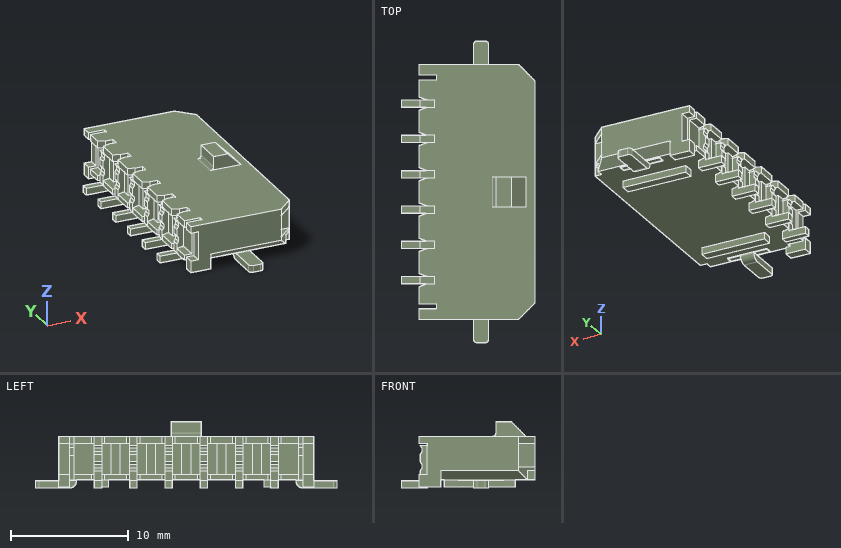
import cadquery as cq


PIN_COUNT = 6
PIN_PITCH = 3.0
PIN_SIZE = 0.64
PIN_TIP_X = -1.48
PIN_REAR_X = 0.1
PIN_TOP_Z = 3.63
PIN_EMBED = 0.4
GROOVE_DEPTH = 0.15
GROOVE_HEIGHT = 0.77
GROOVE_FLAT = 0.31
GROOVE_TOPS = (PIN_TOP_Z, 2.24)

HOUSING_LENGTH = 9.87
HOUSING_WIDTH = 21.7
HOUSING_TOP_Z = 4.4
HOUSING_BOTTOM_Z = 0.7
FRONT_CHAMFER = 1.41
BOTTOM_CHAMFER = 0.78
HALF_WIDTH = HOUSING_WIDTH / 2
CORNER_X = HOUSING_LENGTH - FRONT_CHAMFER
CORNER_Y = HALF_WIDTH - FRONT_CHAMFER

WINDOW_BOTTOM_Z = 1.78
WINDOW_TOP_Z = 3.78

RECESS_DEPTH = 0.7
RECESS_BOTTOM_Z = 1.17
RECESS_TOP_Z = 3.78
POCKET_WIDTH = 0.78
POCKET_DEPTH = 0.4

PIN_SLOT_DEPTH = 1.32
MOUTH_DEPTH = 0.62
MOUTH_WIDTH = 1.12

FOOT_LENGTH = 1.87
FOOT_WIDTH = 0.93
FOOT_BOTTOM_Z = 0.08
SLOT_WIDTH = 0.39
SLOT_DEPTH = 1.48
UNDERCUT_DEPTH = 0.2
UNDERCUT_SLOPE = 0.27
UNDERCUT_BOTTOM_Z = 2.77
UNDERCUT_TOP_Z = 3.73
FOOT_INNER_Y = HALF_WIDTH - FOOT_WIDTH

SKID_START_X = 2.15
SKID_END_X = 8.2
SKID_INNER_Y = 6.6
SKID_WIDTH = 0.9

LATCH_REAR_X = 6.54
LATCH_FRONT_X = 9.1
LATCH_WIDTH = 2.56
LATCH_TOP_Z = 5.64
LATCH_FILLET = 0.29
LATCH_HEIGHT = LATCH_TOP_Z - HOUSING_TOP_Z

TAB_SPAN = 25.65
TAB_CENTRE_X = 5.28
TAB_WIDTH = 1.3
TAB_THICKNESS = 0.63
TAB_CORNER_RADIUS = 0.3
TAB_INNER_Y = 9.32
TAB_BEND_RADIUS = 0.6
TAB_ROOT_WIDTH = 3.8
TAB_ROOT_TOP_Z = 1.2


def box(x_range, y_range, z_range):
    """Box between two limits on each axis."""
    sizes = [high - low for low, high in (x_range, y_range, z_range)]
    corner = (x_range[0], y_range[0], z_range[0])
    return cq.Workplane("XY").box(*sizes, centered=False).translate(corner)


def prism_along_y(points, y_start, y_end):
    """Extrude an X-Z outline from y_start up to y_end."""
    outline = cq.Workplane("XZ", origin=(0, y_start, 0)).polyline(points).close()
    return outline.extrude(y_start - y_end)


def both_sides(shape):
    """The shape together with its mirror image across Y = 0."""
    return shape.union(shape.mirror("XZ"))


def pin_positions():
    """Y positions of the contacts."""
    first = -(PIN_COUNT - 1) * PIN_PITCH / 2
    return [first + index * PIN_PITCH for index in range(PIN_COUNT)]


def housing_block():
    """Plain body with feet, chamfered front corners and chamfered lower side edges."""
    body = box((0, HOUSING_LENGTH), (-HALF_WIDTH, HALF_WIDTH), (FOOT_BOTTOM_Z, HOUSING_TOP_Z))
    body = body.edges("|Z and >X").chamfer(FRONT_CHAMFER)
    body = body.cut(
        box((FOOT_LENGTH, HOUSING_LENGTH), (-HALF_WIDTH, HALF_WIDTH), (FOOT_BOTTOM_Z, HOUSING_BOTTOM_Z))
    )
    body = body.cut(
        box((0, FOOT_LENGTH), (-FOOT_INNER_Y, FOOT_INNER_Y), (FOOT_BOTTOM_Z, HOUSING_BOTTOM_Z))
    )
    side_chamfer = (
        cq.Workplane("YZ", origin=(FOOT_LENGTH, 0, 0))
        .moveTo(HALF_WIDTH, HOUSING_BOTTOM_Z)
        .lineTo(HALF_WIDTH, HOUSING_BOTTOM_Z + BOTTOM_CHAMFER)
        .lineTo(HALF_WIDTH - BOTTOM_CHAMFER, HOUSING_BOTTOM_Z)
        .close()
        .extrude(HOUSING_LENGTH - FOOT_LENGTH)
    )
    return body.cut(both_sides(side_chamfer))


def corner_reliefs():
    """Flat-bottomed reliefs cut into the chamfered front corners."""
    y_range = (CORNER_Y, HALF_WIDTH)
    window = box((CORNER_X, HOUSING_LENGTH), y_range, (WINDOW_BOTTOM_Z, WINDOW_TOP_Z))
    lower_notch = box(
        (CORNER_X + BOTTOM_CHAMFER, HOUSING_LENGTH),
        y_range,
        (HOUSING_BOTTOM_Z, HOUSING_BOTTOM_Z + BOTTOM_CHAMFER),
    )
    return both_sides(window.union(lower_notch))


def rear_recess():
    """Shallow recess across the rear, with a deeper pocket between neighbouring contacts."""
    z_range = (RECESS_BOTTOM_Z, RECESS_TOP_Z)
    recess = box((0, RECESS_DEPTH), (-HALF_WIDTH, HALF_WIDTH), z_range)
    for pin_y in pin_positions()[:-1]:
        middle = pin_y + PIN_PITCH / 2
        y_range = (middle - POCKET_WIDTH / 2, middle + POCKET_WIDTH / 2)
        recess = recess.union(box((0, RECESS_DEPTH + POCKET_DEPTH), y_range, z_range))
    return recess


def contact_opening(pin_y):
    """Flared mouth through lip and ledge, and the narrow slot above one contact."""
    mouth = (
        cq.Workplane("XY", origin=(0, pin_y, HOUSING_BOTTOM_Z))
        .moveTo(0, -MOUTH_WIDTH / 2)
        .lineTo(MOUTH_DEPTH, -PIN_SIZE / 2)
        .lineTo(MOUTH_DEPTH, PIN_SIZE / 2)
        .lineTo(0, MOUTH_WIDTH / 2)
        .close()
        .extrude(HOUSING_TOP_Z - HOUSING_BOTTOM_Z)
    )
    y_range = (pin_y - PIN_SIZE / 2, pin_y + PIN_SIZE / 2)
    return mouth.union(box((0, PIN_SLOT_DEPTH), y_range, (PIN_TOP_Z, HOUSING_TOP_Z)))


def foot_slots():
    """Vertical slots beside the feet, undercut below the top lip."""
    y_start = FOOT_INNER_Y - SLOT_WIDTH
    slot = box((0, SLOT_DEPTH), (y_start, FOOT_INNER_Y), (HOUSING_BOTTOM_Z, HOUSING_TOP_Z))
    undercut_x = SLOT_DEPTH + UNDERCUT_DEPTH
    undercut = prism_along_y(
        [
            (0, UNDERCUT_BOTTOM_Z),
            (undercut_x, UNDERCUT_BOTTOM_Z),
            (undercut_x, UNDERCUT_TOP_Z - UNDERCUT_SLOPE),
            (undercut_x + UNDERCUT_SLOPE, UNDERCUT_TOP_Z),
            (0, UNDERCUT_TOP_Z),
        ],
        y_start,
        FOOT_INNER_Y,
    )
    return both_sides(slot.union(undercut))


def skids():
    """Low bars under the housing."""
    y_range = (SKID_INNER_Y, SKID_INNER_Y + SKID_WIDTH)
    return both_sides(box((SKID_START_X, SKID_END_X), y_range, (FOOT_BOTTOM_Z, HOUSING_BOTTOM_Z)))


def latch():
    """Ramp on the top face with a concave fillet at the foot of its rear wall."""
    return (
        cq.Workplane("XZ", origin=(0, LATCH_WIDTH / 2, 0))
        .moveTo(LATCH_REAR_X - LATCH_FILLET, HOUSING_TOP_Z)
        .radiusArc((LATCH_REAR_X, HOUSING_TOP_Z + LATCH_FILLET), -LATCH_FILLET)
        .lineTo(LATCH_REAR_X, LATCH_TOP_Z)
        .lineTo(LATCH_FRONT_X - LATCH_HEIGHT, LATCH_TOP_Z)
        .lineTo(LATCH_FRONT_X, HOUSING_TOP_Z)
        .close()
        .extrude(LATCH_WIDTH)
    )


def contact(pin_y):
    """Bent contact: solder leg, grooved upright and an upper arm held in the housing."""
    y_range = (pin_y - PIN_SIZE / 2, pin_y + PIN_SIZE / 2)
    upright_front_x = PIN_REAR_X + PIN_SIZE
    pin = box((PIN_TIP_X, upright_front_x), y_range, (0, PIN_SIZE))
    pin = pin.union(box((PIN_REAR_X, upright_front_x), y_range, (0, PIN_TOP_Z)))
    arm_x_range = (PIN_REAR_X, PIN_SLOT_DEPTH + PIN_EMBED)
    pin = pin.union(box(arm_x_range, y_range, (PIN_TOP_Z - PIN_SIZE, PIN_TOP_Z)))
    flank_height = (GROOVE_HEIGHT - GROOVE_FLAT) / 2
    groove_floor_x = PIN_REAR_X + GROOVE_DEPTH
    for top_z in GROOVE_TOPS:
        groove = prism_along_y(
            [
                (PIN_REAR_X, top_z),
                (groove_floor_x, top_z - flank_height),
                (groove_floor_x, top_z - flank_height - GROOVE_FLAT),
                (PIN_REAR_X, top_z - GROOVE_HEIGHT),
            ],
            *y_range,
        )
        pin = pin.cut(groove)
    return pin


def solder_tabs():
    """Flat tabs with rounded tips, bent upwards into wider roots inside the housing."""
    tab = box(
        (TAB_CENTRE_X - TAB_WIDTH / 2, TAB_CENTRE_X + TAB_WIDTH / 2),
        (TAB_INNER_Y, TAB_SPAN / 2),
        (0, TAB_THICKNESS),
    )
    tab = tab.edges("|Z and >Y").fillet(TAB_CORNER_RADIUS)
    tab = tab.edges("|X and <Y and <Z").fillet(TAB_BEND_RADIUS)
    root = box(
        (TAB_CENTRE_X - TAB_ROOT_WIDTH / 2, TAB_CENTRE_X + TAB_ROOT_WIDTH / 2),
        (TAB_INNER_Y, TAB_INNER_Y + TAB_THICKNESS),
        (TAB_THICKNESS, TAB_ROOT_TOP_Z),
    )
    return both_sides(tab.union(root))


housing = housing_block().cut(corner_reliefs()).cut(rear_recess()).cut(foot_slots())
for position in pin_positions():
    housing = housing.cut(contact_opening(position))

result = housing.union(skids()).union(latch()).union(solder_tabs())
for position in pin_positions():
    result = result.union(contact(position))